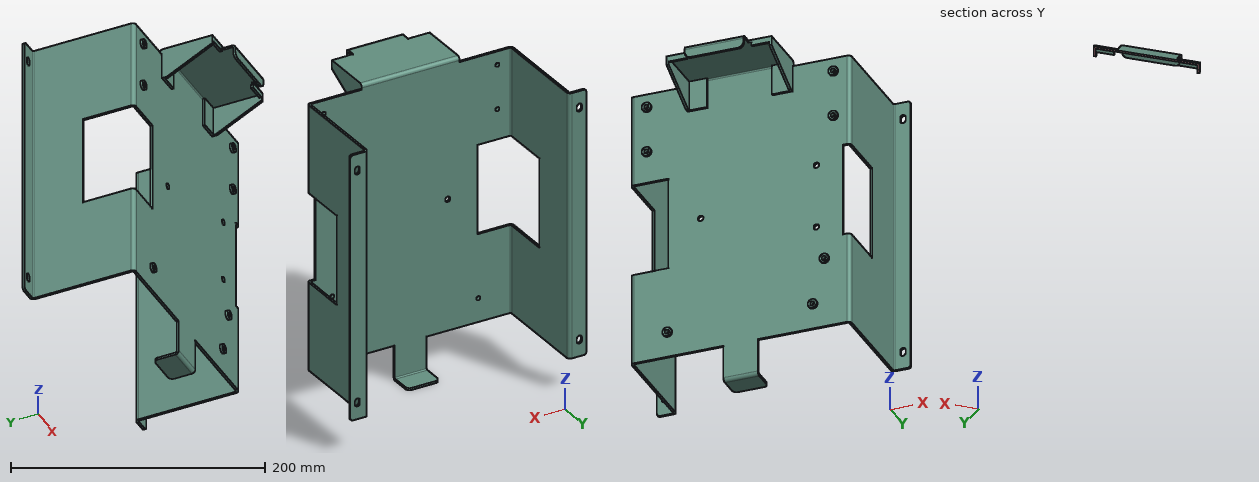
import cadquery as cq
import math

SHEET = 2.0
BEND_INNER = 1.0
BEND_OUTER = BEND_INNER + SHEET
FLANGE_CORNER_RADIUS = 2.5

TOTAL_HEIGHT = 273.7
TOTAL_DEPTH = 146.0
TOTAL_WIDTH = 216.0
WALL_SPAN = 187.2
BODY_DEPTH = 91.1
BODY_HEIGHT = 237.5

WINDOW_BOTTOM = 78.8
WINDOW_TOP = 158.7
WINDOW_DEPTH = 45.5
LEFT_WINDOW_EDGE = -61.3
RIGHT_WINDOW_EDGE = 87.0

SLOT_X = 101.5
SLOT_HEIGHTS = (15.0, 222.8)
SLOT_WIDTH = 4.7
SLOT_LENGTH = 7.0

BUSHING_DIAMETER = 7.7
BUSHING_BORE = 3.5
BUSHING_RISE = SHEET
BUSHING_POSITIONS = (
    (-79.5, 225.5),
    (79.5, 225.5),
    (-79.5, 185.8),
    (79.5, 185.8),
    (71.7, 60.0),
    (-61.9, 21.3),
    (61.9, 21.3),
)
HOLE_DIAMETER = 4.7
HOLE_POSITIONS = ((-34.0, 117.7), (64.5, 145.0), (64.5, 90.0))

TAB_WIDTH = 29.3
TAB_DROP = 31.2
TAB_LENGTH = 22.2
TAB_CORNER_RADIUS = 3.8

HOOD_WIDTH = 89.5
HOOD_TOP = TOTAL_HEIGHT - TAB_DROP
HOOD_REACH = TOTAL_DEPTH - BODY_DEPTH
LIP_WIDTH = 50.0
LIP_DROP = 10.7
LIP_BOTTOM = HOOD_TOP - LIP_DROP
LIP_CORNER_RADIUS = 5.0
GUSSET_REACH = 44.3
GUSSET_BOTTOM = 214.9
GUSSET_FOOT = 4.5
GUSSET_NOSE = 7.7
BRIM_DROP = 5.0
INNER_FLANGE_EDGE = 27.6


def rounded_outline(plane, corners):
    """Closed outline through (u, v, radius) corners; a non-zero radius rounds a right angle."""
    points = [cq.Vector(u, v) for u, v, _ in corners]
    outline = None
    for i, (_, _, radius) in enumerate(corners):
        corner = points[i]
        to_previous = (points[i - 1] - corner).normalized() * radius
        to_next = (points[(i + 1) % len(points)] - corner).normalized() * radius
        start = (corner + to_previous).toTuple()[:2]
        outline = outline.lineTo(*start) if outline else cq.Workplane(plane).moveTo(*start)
        if radius:
            middle = corner + (to_previous + to_next) * (1 - math.sqrt(0.5))
            end = (corner + to_next).toTuple()[:2]
            outline = outline.threePointArc(middle.toTuple()[:2], end)
    return outline.close()


def block(x_range, y_range, z_range):
    """Box between the given limits."""
    ranges = (x_range, y_range, z_range)
    sizes = [high - low for low, high in ranges]
    lows = [low for low, _ in ranges]
    return cq.Workplane("XY").box(*sizes, centered=False).translate(tuple(lows))


def cylinders(positions, diameter, y_front, y_back):
    """Cylinders along Y at the given (x, z) positions."""
    return (
        cq.Workplane("XZ", origin=(0, y_front, 0))
        .pushPoints(positions)
        .circle(diameter / 2)
        .extrude(y_front - y_back)
    )


def both_sides(solid):
    """The solid together with its mirror image across X = 0."""
    return solid.union(solid.mirror("YZ"))


def hat_body():
    wall = WALL_SPAN / 2
    edge = TOTAL_WIDTH / 2
    right_half = [
        (wall, 0, BEND_OUTER),
        (wall, BODY_DEPTH - SHEET, BEND_INNER),
        (edge, BODY_DEPTH - SHEET, 0),
        (edge, BODY_DEPTH, 0),
        (wall - SHEET, BODY_DEPTH, BEND_OUTER),
        (wall - SHEET, SHEET, BEND_INNER),
    ]
    left_half = [(-x, y, radius) for x, y, radius in reversed(right_half)]
    body = rounded_outline("XY", right_half + left_half).extrude(BODY_HEIGHT)
    for side in ("<X", ">X"):
        body = body.faces(side).edges("|Y").fillet(FLANGE_CORNER_RADIUS)
    return body


def windows():
    y_range = (-SHEET, WINDOW_DEPTH)
    z_range = (WINDOW_BOTTOM, WINDOW_TOP)
    left = block((-TOTAL_WIDTH / 2, LEFT_WINDOW_EDGE), y_range, z_range)
    right = block((RIGHT_WINDOW_EDGE, TOTAL_WIDTH / 2), y_range, z_range)
    return left.union(right)


def flange_slots():
    centres = [(side * SLOT_X, z) for side in (-1, 1) for z in SLOT_HEIGHTS]
    return (
        cq.Workplane("XZ", origin=(0, BODY_DEPTH, 0))
        .pushPoints(centres)
        .slot2D(SLOT_LENGTH, SLOT_WIDTH, 90)
        .extrude(SHEET)
    )


def hook_tab():
    corners = [
        (0, 0, 0),
        (0, -TAB_DROP, BEND_OUTER),
        (TAB_LENGTH, -TAB_DROP, 0),
        (TAB_LENGTH, SHEET - TAB_DROP, 0),
        (SHEET, SHEET - TAB_DROP, BEND_INNER),
        (SHEET, 0, 0),
    ]
    tab = rounded_outline("YZ", corners).extrude(TAB_WIDTH / 2, both=True)
    return tab.faces(">Y").edges("|Z").fillet(TAB_CORNER_RADIUS)


def hood_cover():
    """Cover rising out of the main plate, ending in a narrower lip bent down at the front."""
    corners = [
        (SHEET, BODY_HEIGHT, 0),
        (SHEET, HOOD_TOP, BEND_OUTER),
        (-HOOD_REACH, HOOD_TOP, BEND_OUTER),
        (-HOOD_REACH, LIP_BOTTOM, 0),
        (SHEET - HOOD_REACH, LIP_BOTTOM, 0),
        (SHEET - HOOD_REACH, HOOD_TOP - SHEET, BEND_INNER),
        (0, HOOD_TOP - SHEET, BEND_INNER),
        (0, BODY_HEIGHT, 0),
    ]
    cover = rounded_outline("YZ", corners).extrude(HOOD_WIDTH / 2, both=True)
    notch = block((LIP_WIDTH / 2, HOOD_WIDTH / 2), (-HOOD_REACH, -GUSSET_REACH), (LIP_BOTTOM, HOOD_TOP))
    cover = cover.cut(both_sides(notch))
    return cover.faces("<Z").edges("|Y").fillet(LIP_CORNER_RADIUS)


def gussets():
    """Side cheeks of the hood with a tab on the main plate and a short brim at the front."""
    outer = HOOD_WIDTH / 2
    corners = [
        (0, GUSSET_BOTTOM, 0),
        (0, BODY_HEIGHT, 0),
        (SHEET, BODY_HEIGHT, 0),
        (SHEET, HOOD_TOP, BEND_OUTER),
        (-GUSSET_REACH, HOOD_TOP, 0),
        (-GUSSET_REACH, HOOD_TOP - GUSSET_NOSE, 0),
        (-GUSSET_FOOT, GUSSET_BOTTOM, 0),
    ]
    cheek = rounded_outline("YZ", corners).extrude(SHEET).translate((outer - SHEET, 0, 0))
    flange_span = (INNER_FLANGE_EDGE, outer)
    plate_tab = block(flange_span, (-SHEET, 0), (GUSSET_BOTTOM, HOOD_TOP - SHEET))
    brim = block(flange_span, (-GUSSET_REACH, SHEET - GUSSET_REACH), (HOOD_TOP - BRIM_DROP, HOOD_TOP))
    return both_sides(cheek.union(plate_tab).union(brim))


bushings = cylinders(BUSHING_POSITIONS, BUSHING_DIAMETER, 0, -BUSHING_RISE)
bushing_bores = cylinders(BUSHING_POSITIONS, BUSHING_BORE, SHEET, -BUSHING_RISE)
plain_holes = cylinders(HOLE_POSITIONS, HOLE_DIAMETER, SHEET, 0)

result = (
    hat_body()
    .cut(windows())
    .cut(flange_slots())
    .union(hook_tab())
    .union(hood_cover())
    .union(gussets())
    .union(bushings)
    .cut(bushing_bores)
    .cut(plain_holes)
)